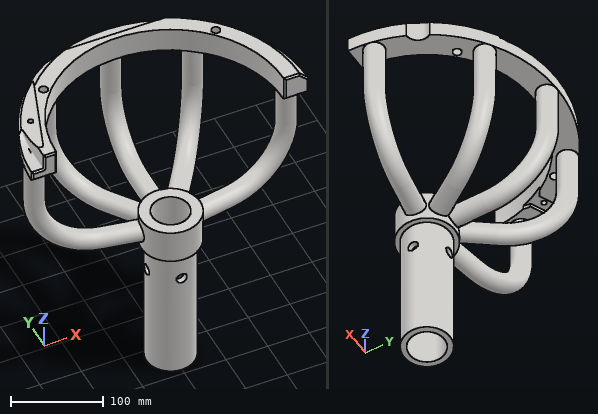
import cadquery as cq
import math

RIM_OUTER_R = 166.0
RIM_INNER_R = 136.5
RIM_HEIGHT = 31.0
RIM_TOP_CHAMFER = 10.5
RIM_END_CHAMFER = 2.0
CLEARANCE = 20.0

OVERALL_HEIGHT = 354.85
HUB_R = 35.4
HUB_HEIGHT = 42.0
STEM_R = 29.2
BORE_R = 22.0
PIN_HOLE_DIAMETER = 12.5
PIN_HOLE_Z = -187.0

SPOKE_DIAMETER = 25.0
SPOKE_BEND_R = 75.5
SPOKE_AXIS_Z = -132.0
SPOKE_RISER_R = 153.5
SPOKE_ROOT_R = (BORE_R + HUB_R) / 2
SPOKE_ANGLES = (10.0, 56.0, 90.0, 127.0, 170.0)

STEP_Y = 143.4
STEP_DEPTH = 13.0
STEP_FILLET = 3.0

POCKET_ANGLE = 19.15
POCKET_WALL_OFFSET = 142.4
POCKET_DEPTH = 7.5
POCKET_RAMP_START = -2.7
POCKET_RAMP_R = 70.0

LEDGE_WALL_X = -151.6
LEDGE_DEPTH = 19.0
LEDGE_FLAT_LENGTH = 24.0
LEDGE_RAMP_R = 52.0
FLOOR_FILLET = 2.0

SCALLOP_R = 14.5
SCALLOP_CENTER_R = 172.5
SCALLOP_ANGLE = 28.5

RIM_HOLE_DIAMETER = 10.0
RIM_HOLE_CIRCLE_R = 144.3
RIM_HOLE_ANGLES = (45.0, 138.0)
PIVOT_HOLE_DIAMETER = 6.0
PIVOT_HOLE_CIRCLE_R = 152.0

SLOT_ANGLE = 155.0
SLOT_WIDTH = 18.0
SLOT_HEIGHT = 5.0
SLOT_RELIEF_R = 24.4
SLOT_RELIEF_CENTER_R = 117.4


def turned(solid, degrees):
    """Turn a solid about the hub axis."""
    return solid.rotate((0, 0, 0), (0, 0, 1), degrees)


def vertical_cylinder(radius, circle_r, angle, height):
    """Cylinder rising from z = 0, centred on a circle about the hub axis."""
    cylinder = cq.Workplane("XY", origin=(circle_r, 0, 0)).circle(radius).extrude(height)
    return turned(cylinder, angle)


def half_ring():
    chamfer_r = RIM_OUTER_R - RIM_TOP_CHAMFER
    return (
        cq.Workplane("XZ")
        .moveTo(RIM_INNER_R, 0)
        .lineTo(RIM_OUTER_R, 0)
        .lineTo(RIM_OUTER_R, RIM_HEIGHT - RIM_TOP_CHAMFER)
        .lineTo(chamfer_r, RIM_HEIGHT)
        .lineTo(RIM_INNER_R, RIM_HEIGHT)
        .close()
        .revolve(180, (0, 0), (0, 1))
    )


def back_step():
    depth = RIM_OUTER_R - STEP_Y + CLEARANCE
    floor_z = RIM_HEIGHT - STEP_DEPTH
    return (
        cq.Workplane("XY", origin=(0, STEP_Y, floor_z))
        .box(2 * RIM_OUTER_R, depth, STEP_DEPTH + CLEARANCE, centered=(True, False, False))
        .edges("<Y and <Z")
        .fillet(STEP_FILLET)
    )


def ramped_cutter(wall_x, ramp_y, direction, depth, ramp_r):
    """Cutter on the -X side of a wall: flat floor, then an arc ramp rising from ramp_y along +/-Y."""
    floor_z = RIM_HEIGHT - depth
    top_z = RIM_HEIGHT + CLEARANCE
    open_y = ramp_y - direction * RIM_OUTER_R

    def ramp_point(z):
        run = math.sqrt(ramp_r**2 - (floor_z + ramp_r - z) ** 2)
        return (ramp_y + direction * run, z)

    cutter = (
        cq.Workplane("YZ", origin=(wall_x, 0, 0))
        .moveTo(open_y, floor_z)
        .lineTo(ramp_y, floor_z)
        .threePointArc(ramp_point((floor_z + top_z) / 2), ramp_point(top_z))
        .lineTo(open_y, top_z)
        .close()
        .extrude(-RIM_OUTER_R - CLEARANCE - wall_x)
    )
    return cutter.faces(">X").edges("<Z or (%CIRCLE)").fillet(FLOOR_FILLET)


def pocket():
    cutter = ramped_cutter(-POCKET_WALL_OFFSET, POCKET_RAMP_START, -1, POCKET_DEPTH, POCKET_RAMP_R)
    return turned(cutter, -POCKET_ANGLE)


def ledge():
    return ramped_cutter(LEDGE_WALL_X, LEDGE_FLAT_LENGTH, 1, LEDGE_DEPTH, LEDGE_RAMP_R)


def underside_slot():
    slot = cq.Workplane("XY").box(
        RIM_OUTER_R + CLEARANCE, SLOT_WIDTH, SLOT_HEIGHT, centered=(False, True, False)
    )
    relief = vertical_cylinder(SLOT_RELIEF_R, SLOT_RELIEF_CENTER_R, SLOT_ANGLE, SLOT_HEIGHT)
    return turned(slot, SLOT_ANGLE).union(relief)


def rim():
    body = half_ring().cut(back_step()).cut(ledge())
    body = body.faces("<Y").edges().chamfer(RIM_END_CHAMFER)
    body = body.cut(pocket()).cut(underside_slot())
    body = body.cut(vertical_cylinder(SCALLOP_R, SCALLOP_CENTER_R, SCALLOP_ANGLE, RIM_HEIGHT))
    for angle in RIM_HOLE_ANGLES:
        body = body.cut(vertical_cylinder(RIM_HOLE_DIAMETER / 2, RIM_HOLE_CIRCLE_R, angle, RIM_HEIGHT))
    return body.cut(
        vertical_cylinder(PIVOT_HOLE_DIAMETER / 2, PIVOT_HOLE_CIRCLE_R, SLOT_ANGLE, RIM_HEIGHT)
    )


def spoke(angle):
    bend_start_r = SPOKE_RISER_R - SPOKE_BEND_R
    bend_top_z = SPOKE_AXIS_Z + SPOKE_BEND_R
    bend_mid = SPOKE_BEND_R * math.sqrt(0.5)
    path = (
        cq.Workplane("XZ")
        .moveTo(SPOKE_ROOT_R, SPOKE_AXIS_Z)
        .lineTo(bend_start_r, SPOKE_AXIS_Z)
        .threePointArc((bend_start_r + bend_mid, bend_top_z - bend_mid), (SPOKE_RISER_R, bend_top_z))
        .lineTo(SPOKE_RISER_R, 0)
    )
    tube = cq.Workplane("YZ", origin=(SPOKE_ROOT_R, 0, SPOKE_AXIS_Z)).circle(SPOKE_DIAMETER / 2).sweep(path)
    return turned(tube, angle)


def hub_and_stem():
    bottom_z = RIM_HEIGHT - OVERALL_HEIGHT
    hub_bottom_z = SPOKE_AXIS_Z - HUB_HEIGHT / 2
    stem = cq.Workplane("XY", origin=(0, 0, bottom_z)).circle(STEM_R).extrude(hub_bottom_z - bottom_z)
    hub = cq.Workplane("XY", origin=(0, 0, hub_bottom_z)).circle(HUB_R).extrude(HUB_HEIGHT)
    return stem.union(hub)


def stem_cuts():
    """Bore along the axis and two crossing pin holes."""
    cuts = cq.Workplane("XY", origin=(0, 0, -OVERALL_HEIGHT)).circle(BORE_R).extrude(OVERALL_HEIGHT)
    for plane in ("XZ", "YZ"):
        pin_hole = (
            cq.Workplane(plane, origin=(0, 0, PIN_HOLE_Z))
            .circle(PIN_HOLE_DIAMETER / 2)
            .extrude(STEM_R + CLEARANCE, both=True)
        )
        cuts = cuts.union(pin_hole)
    return cuts


result = hub_and_stem()
for spoke_angle in SPOKE_ANGLES:
    result = result.union(spoke(spoke_angle))
result = result.cut(stem_cuts()).union(rim())